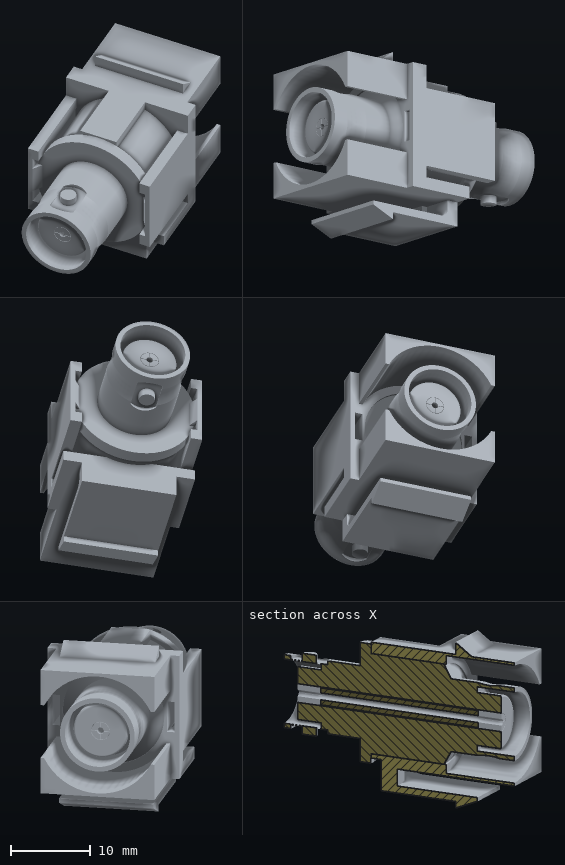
import cadquery as cq


half_length = 16.28
barrel_radius = 4.8
mouth_radius = 4.17
mouth_depth = 5.2
core_radius = 3.5
core_edge_radius = 0.25
core_recess = 1.85
groove_centre = 12.65
groove_half_width = 1.53
groove_bottom_radius = 4.62
stud_centre = 12.73
stud_radius = 1.0
stud_tip = 5.3
stud_flat_height = 4.3
stud_flat_radius = 2.57
stud_flat_half_width = 1.63
flange_radius = 7.8
flange_front = -5.57
flange_back = -3.97
body_radius = 6.5
shoulder_end = 7.33
shoulder_slope = 1.8

contact_radius = 1.15
contact_clearance = 0.05
contact_bore_radius = 0.42
slit_width = 0.05
slit_depth = 3.25

overall_width = 16.9
half_width = overall_width / 2
top = 8.05
bottom = -8.07
plate_front = 4.35
plate_back = 6.65
rear_half_width = 7.3
cavity_radius = 7.65
side_slot_half_height = 3.45
sleeve_front_radius = 7.13
sleeve_back_radius = 7.25
key_half_width = 2.5
ledge_top = -6.55
ledge_front = -2.6

arm_inner = 7.0
arm_half_height = 5.05
arm_front = -6.75
channel_half_height = 3.5
channel_root = 7.15
hook_half_height = 1.85
hook_slot_half_height = 2.0
hook_slot_inner = 6.85

catch_stop = 7.9
ridge_half_width = 6.12
ridge_tip = 9.6
ridge_back = 10.22
latch_half_width = 6.05
latch_post_back = -1.05
latch_top = -10.22
latch_bottom = -11.2
latch_back = 11.07
latch_back_bottom = -10.75
latch_tip = -12.08
latch_fillet = 0.98
gusset_half_width = 1.95
gusset_back = -0.25


def box(x_min, x_max, y_min, y_max, z_min, z_max):
    corner = (x_min, y_min, z_min)
    block = cq.Workplane("XY").box(x_max - x_min, y_max - y_min, z_max - z_min, centered=False)
    return block.translate(corner)


def centred_box(half_x, y_min, y_max, z_min, z_max):
    return box(-half_x, half_x, y_min, y_max, z_min, z_max)


def cylinder_y(radius, y_min, y_max):
    return cq.Workplane("XZ", origin=(0, y_min, 0)).circle(radius).extrude(y_min - y_max)


def turned(points):
    """Revolve an outline of (radius, y) points about the Y axis."""
    return cq.Workplane("XY").polyline(points).close().revolve(360, (0, 0, 0), (0, 1, 0))


def side_profile(points, half_x):
    """Extrude an outline of (y, z) points symmetrically about x = 0."""
    return cq.Workplane("YZ").polyline(points).close().extrude(half_x, both=True)


def both_ends(end):
    return [end, end.mirror("XZ")]


def both_sides(side):
    return [side, side.mirror("YZ")]


def end_recess():
    """Ring-shaped mouth around the recessed core, which has a rounded edge, at the front end."""
    mouth = cylinder_y(mouth_radius, -half_length, mouth_depth - half_length)
    core = cylinder_y(core_radius, core_recess - half_length, mouth_depth - half_length)
    return mouth.cut(core.faces("<Y").edges().fillet(core_edge_radius))


def end_groove():
    outline = (
        cq.Workplane("XY")
        .moveTo(barrel_radius, -groove_centre - groove_half_width)
        .threePointArc(
            (groove_bottom_radius, -groove_centre),
            (barrel_radius, -groove_centre + groove_half_width),
        )
        .close()
    )
    return outline.revolve(360, (0, 0, 0), (0, 1, 0))


def stud_seat(side):
    """Spot face with straight sides around a bayonet stud; side is +1 above, -1 below."""
    flat = cq.Workplane("XY", origin=(0, -stud_centre, side * stud_flat_height))
    depth = side * (stud_tip - stud_flat_height)
    spot = flat.circle(stud_flat_radius).extrude(depth)
    sides = flat.rect(2 * stud_flat_half_width, 2 * stud_flat_radius).extrude(depth)
    return spot.intersect(sides)


def stud(side):
    base = cq.Workplane("XY", origin=(0, -stud_centre, side * mouth_radius))
    return base.circle(stud_radius).extrude(side * (stud_tip - mouth_radius))


def make_connector():
    shoulder_start = shoulder_end - (body_radius - barrel_radius) / shoulder_slope
    connector = turned([
        (0, -half_length),
        (barrel_radius, -half_length),
        (barrel_radius, flange_front),
        (flange_radius, flange_front),
        (flange_radius, flange_back),
        (body_radius, flange_back),
        (body_radius, shoulder_start),
        (barrel_radius, shoulder_end),
        (barrel_radius, half_length),
        (0, half_length),
    ])
    for feature in both_ends(end_recess()) + both_ends(end_groove()):
        connector = connector.cut(feature)
    for side in (1, -1):
        connector = connector.cut(stud_seat(side)).union(stud(side))
    return connector.cut(cylinder_y(contact_radius + contact_clearance, -half_length, half_length))


def make_contact():
    """Tubular contact with two crossed slits in each end."""
    tip = half_length - core_recess
    contact = cylinder_y(contact_radius, -tip, tip).cut(cylinder_y(contact_bore_radius, -tip, tip))
    slit = centred_box(slit_width / 2, -tip, slit_depth - tip, -contact_radius, contact_radius)
    for upright_slit in both_ends(slit):
        level_slit = upright_slit.rotate((0, 0, 0), (0, 1, 0), 90)
        contact = contact.cut(upright_slit).cut(level_slit)
    return contact


def rear_block():
    block = centred_box(rear_half_width, plate_back, half_length, bottom, top)
    side_slot = centred_box(
        rear_half_width, plate_back, half_length, -side_slot_half_height, side_slot_half_height
    )
    return block.cut(side_slot).cut(cylinder_y(cavity_radius, plate_back, half_length))


def sleeve():
    """Tapered tube around the connector body, in front of the plate."""
    return turned([
        (0, flange_back),
        (sleeve_front_radius, flange_back),
        (sleeve_back_radius, plate_front),
        (0, plate_front),
    ])


def right_arm():
    """Side arm with a tapered channel along its inner face."""
    arm = box(arm_inner, half_width, arm_front, plate_front, -arm_half_height, arm_half_height)
    channel = (
        cq.Workplane("XY")
        .polyline([
            (arm_inner, arm_front),
            (flange_radius, arm_front),
            (channel_root, plate_front),
            (arm_inner, plate_front),
        ])
        .close()
        .extrude(channel_half_height, both=True)
    )
    return arm.cut(channel)


def right_hook():
    """Wedge inside the right arm that holds the front of the connector flange."""
    outline = (
        cq.Workplane("XY")
        .polyline([(flange_radius, arm_front), (flange_radius, flange_front), (arm_inner, flange_front)])
        .close()
    )
    return outline.extrude(hook_half_height, both=True)


def hook_slot():
    """Slot behind the right hook, running through the arm floor and the plate."""
    half_height = hook_slot_half_height
    return box(hook_slot_inner, flange_radius, arm_front, plate_back, -half_height, half_height)


def ridge():
    return side_profile(
        [(catch_stop, top), (catch_stop, ridge_tip), (ridge_back, top)], ridge_half_width
    )


def latch():
    """Spring latch below the ledge: a post, a rearward arm with a barb, and a gusset."""
    spring = side_profile([
        (ledge_front, bottom),
        (ledge_front, latch_bottom),
        (catch_stop, latch_bottom),
        (catch_stop, latch_tip),
        (latch_back, latch_back_bottom),
        (latch_back, latch_top),
        (latch_post_back, latch_top),
        (latch_post_back, bottom),
    ], latch_half_width)
    inner_corner = cq.selectors.NearestToPointSelector((0, latch_post_back, latch_top))
    spring = spring.edges(inner_corner).fillet(latch_fillet)
    gusset = centred_box(gusset_half_width, latch_post_back, gusset_back, latch_top, bottom)
    return spring.union(gusset)


def make_housing():
    housing = centred_box(half_width, plate_front, plate_back, bottom, top)
    housing = housing.union(rear_block()).union(sleeve())
    housing = housing.union(centred_box(key_half_width, flange_back, plate_front, 0, top))
    housing = housing.union(centred_box(half_width, ledge_front, plate_front, bottom, ledge_top))
    for arm in both_sides(right_arm()):
        housing = housing.union(arm)
    for slot in both_sides(hook_slot()):
        housing = housing.cut(slot)
    for hook in both_sides(right_hook()):
        housing = housing.union(hook)
    housing = housing.union(ridge()).union(latch())
    return housing.cut(cylinder_y(body_radius, flange_back, plate_back))


connector = make_connector()
contact = make_contact()
housing = make_housing()

result = cq.Compound.makeCompound([housing.val(), connector.val(), contact.val()])